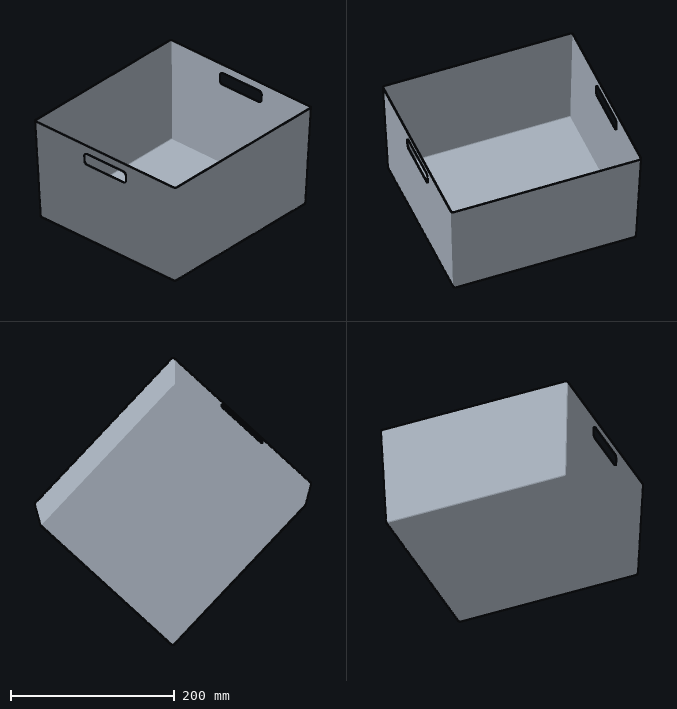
import cadquery as cq

top_x = 232.0
top_y = 250.0
height = 140.0

draft_angle = 2.0
wall = 1.0
edge_radius = 3.0
inner_radius = edge_radius - wall

handle_length = 68.5
handle_height = 16.0
handle_radius = 5.0
handle_top_gap = 12.0


def tapered_body(offset, floor_z, radius):
    """Drafted block, inset from the outer walls, rounded on its sides and bottom."""
    block = (
        cq.Workplane("XY")
        .workplane(offset=height)
        .rect(top_x - 2 * offset, top_y - 2 * offset)
        .extrude(floor_z - height, taper=draft_angle)
    )
    return block.faces("not >Z").edges("not >Z").fillet(radius)


def hand_holes():
    """Rounded slot running through both end walls."""
    return (
        cq.Workplane("XY")
        .box(handle_length, 2 * top_y, handle_height)
        .edges("|Y")
        .fillet(handle_radius)
        .translate((0, 0, height - handle_top_gap - handle_height / 2))
    )


outer = tapered_body(0, 0, edge_radius)
cavity = tapered_body(wall, wall, inner_radius)
result = outer.cut(cavity).cut(hand_holes())